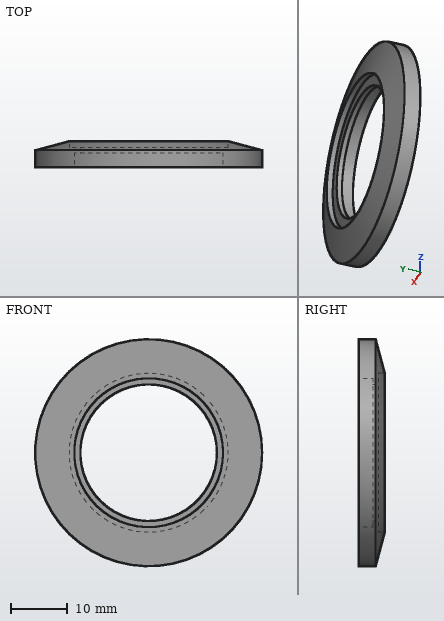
import cadquery as cq
import math

outer_diameter = 40.0
bore_diameter = 24.0
front_recess_diameter = 26.2
rear_socket_diameter = 28.0
total_width = 4.6
rim_width = 3.0
front_recess_depth = 2.5
lip_width = 1.0
taper_angle = 15.0

outer_radius = outer_diameter / 2
bore_radius = bore_diameter / 2
front_recess_radius = front_recess_diameter / 2
rear_socket_radius = rear_socket_diameter / 2
lip_rear = front_recess_depth + lip_width
cone_run = (total_width - rim_width) / math.tan(math.radians(taper_angle))
cone_small_radius = outer_radius - cone_run


def make_flange_ring():
    """Revolve the half section (radius along X, width along Y) about the Y axis."""
    half_section = (
        cq.Workplane("XY")
        .moveTo(front_recess_radius, 0)
        .lineTo(outer_radius, 0)
        .lineTo(outer_radius, rim_width)
        .lineTo(cone_small_radius, total_width)
        .lineTo(rear_socket_radius, total_width)
        .lineTo(rear_socket_radius, lip_rear)
        .lineTo(bore_radius, lip_rear)
        .lineTo(bore_radius, front_recess_depth)
        .lineTo(front_recess_radius, front_recess_depth)
        .close()
    )
    full_turn = 360
    return half_section.revolve(full_turn, (0, 0, 0), (0, 1, 0))


result = make_flange_ring()